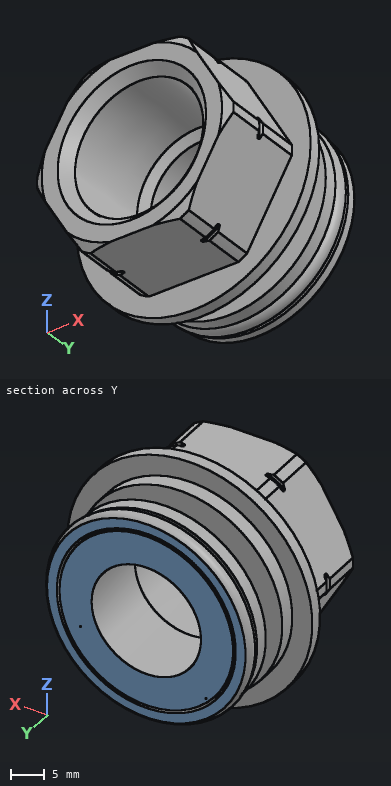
import cadquery as cq
import math


hex_flats = 32.0
hex_corner_radius = 17.98
hex_end = 15.62
end_chamfer_radius = 16.48
end_chamfer_angle = 30
corner_groove_y = 7.85
corner_groove_depth = 0.43
corner_groove_width = 0.95
corner_groove_floor_width = 0.45

flange_radius = 21.4
flange_end = 17.8
collar_radius = 17.9
collar_end = 20.6
neck_radius = 11.75
neck_end = 24.75
land_radius = 17.6
front_land_end = 27.18
rear_land_start = 30.45
total_length = 32.0

ring_section_radius = 1.5
ring_centre_radius = hex_corner_radius - ring_section_radius
ring_y = (front_land_end + rear_land_start) / 2
ring_seat_overlap = 0.2
ring_groove_radius = ring_centre_radius - ring_section_radius + ring_seat_overlap

mouth_radius = 13.55
mouth_chamfer = 1.85
thread_end_radius = 11.25
thread_taper = 1 / 32
through_radius = 9.5
step_angle = 30
thread_start_radius = mouth_radius - mouth_chamfer
thread_end = mouth_chamfer + (thread_start_radius - thread_end_radius) / thread_taper
step_end = thread_end + (thread_end_radius - through_radius) * math.tan(math.radians(step_angle))


def revolve_about_axis(sketch):
    return sketch.revolve(360, (0, 0, 0), (0, 1, 0))


def revolve_profile(points):
    """Revolve a closed outline of (radius, y) points about the Y axis."""
    return revolve_about_axis(cq.Workplane("XY").polyline(points).close())


def corner_groove():
    floor_radius = hex_corner_radius - corner_groove_depth
    clear_radius = hex_corner_radius + corner_groove_depth
    half_floor = corner_groove_floor_width / 2
    half_clear = corner_groove_width - half_floor
    return revolve_profile([
        (floor_radius, corner_groove_y - half_floor),
        (clear_radius, corner_groove_y - half_clear),
        (clear_radius, corner_groove_y + half_clear),
        (floor_radius, corner_groove_y + half_floor),
    ])


def sealing_ring():
    section = cq.Workplane("XY").moveTo(ring_centre_radius, ring_y).circle(ring_section_radius)
    return revolve_about_axis(section)


def hexagon():
    corners_diameter = hex_flats / math.cos(math.radians(30))
    prism = cq.Workplane("XZ").polygon(6, corners_diameter).extrude(-hex_end)
    chamfer_depth = (hex_corner_radius - end_chamfer_radius) * math.tan(math.radians(end_chamfer_angle))
    envelope = revolve_profile([
        (0, 0),
        (end_chamfer_radius, 0),
        (hex_corner_radius, chamfer_depth),
        (hex_corner_radius, hex_end),
        (0, hex_end),
    ])
    return prism.intersect(envelope).cut(corner_groove())


def spigot():
    steps = [
        (flange_radius, flange_end),
        (collar_radius, collar_end),
        (neck_radius, neck_end),
        (land_radius, front_land_end),
        (ring_groove_radius, rear_land_start),
        (land_radius, total_length),
    ]
    outline = [(0, hex_end)]
    start = hex_end
    for radius, end in steps:
        outline += [(radius, start), (radius, end)]
        start = end
    outline.append((0, total_length))
    return revolve_profile(outline)


def bore():
    return revolve_profile([
        (0, 0),
        (mouth_radius, 0),
        (thread_start_radius, mouth_chamfer),
        (thread_end_radius, thread_end),
        (through_radius, step_end),
        (through_radius, total_length),
        (0, total_length),
    ])


result = hexagon().union(spigot()).union(sealing_ring()).cut(bore())